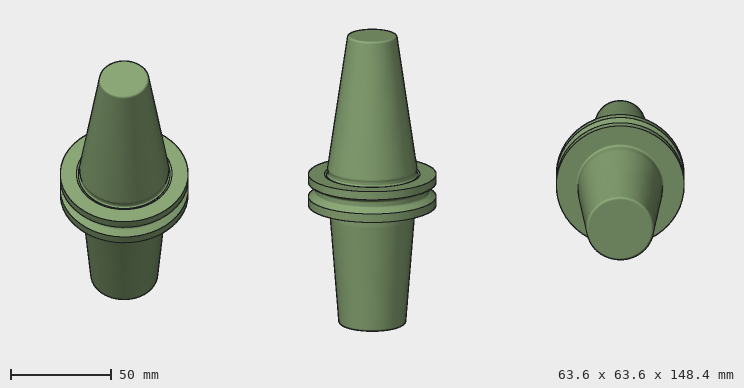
import cadquery as cq
import math


taper_length = 68.4
gauge_radius = 44.45 / 2
taper_radius_slope = 7 / 24 / 2
taper_top_fillet = 1.2
gauge_land_height = 0.5

neck_radius = 21.95
relief_angle = 15
undercut_outer_radius = 23.75
undercut_depth = 0.35
undercut_floor_width = 0.82
undercut_fillet = 0.8

flange_radius = 63.55 / 2
flange_top = -3.2
flange_bottom = -19.1
groove_center = -11.05
groove_width = 7.3
groove_floor_radius = 56.25 / 2
groove_wall_angle = 30
groove_floor_fillet = 0.9

nose_length = 80.0
nose_collar_radius = 20.95
nose_collar_bottom = -25.0
nose_taper_angle = 4.5
nose_taper_length = nose_length + nose_collar_bottom
nose_end_radius = nose_collar_radius - nose_taper_length * math.tan(math.radians(nose_taper_angle))
nose_root_fillet = 1.0
nose_end_fillet = 1.2


def turned(*profile):
    """Solid of revolution about Z from a closed (radius, z) outline."""
    return cq.Workplane("XZ").polyline(profile).close().revolve(360, (0, 0, 0), (0, 1, 0))


def circle_edge(radius, z):
    """Selector for the circular edge of the given radius and height."""
    margin = 0.01
    reach = radius + margin
    return cq.selectors.BoxSelector(
        (-reach, -reach, z - margin), (reach, reach, z + margin), boundingbox=True
    )


def build_shank():
    top_radius = gauge_radius - taper_length * taper_radius_slope
    relief_top = -gauge_land_height
    relief_height = (gauge_radius - neck_radius) / math.tan(math.radians(relief_angle))
    shank = turned(
        (0, flange_bottom),
        (neck_radius, flange_bottom),
        (neck_radius, relief_top - relief_height),
        (gauge_radius, relief_top),
        (gauge_radius, 0),
        (top_radius, taper_length),
        (0, taper_length),
    )
    return shank.edges(circle_edge(top_radius, taper_length)).fillet(taper_top_fillet)


def build_flange():
    wall_height = (flange_radius - groove_floor_radius) * math.tan(math.radians(groove_wall_angle))
    groove_top = groove_center + groove_width / 2
    groove_bottom = groove_center - groove_width / 2
    floor_top = groove_top - wall_height
    floor_bottom = groove_bottom + wall_height
    flange = turned(
        (0, flange_bottom),
        (flange_radius, flange_bottom),
        (flange_radius, groove_bottom),
        (groove_floor_radius, floor_bottom),
        (groove_floor_radius, floor_top),
        (flange_radius, groove_top),
        (flange_radius, flange_top),
        (0, flange_top),
    )
    for z in (floor_top, floor_bottom):
        flange = flange.edges(circle_edge(groove_floor_radius, z)).fillet(groove_floor_fillet)
    return flange


def build_nose():
    nose = turned(
        (0, -nose_length),
        (nose_end_radius, -nose_length),
        (nose_collar_radius, nose_collar_bottom),
        (nose_collar_radius, flange_bottom),
        (0, flange_bottom),
    )
    return nose.edges(circle_edge(nose_end_radius, -nose_length)).fillet(nose_end_fillet)


def cut_undercut(body):
    """Shallow conical recess in the flange face around the neck, with a rounded root."""
    recess_floor = flange_top - undercut_depth
    recess = turned(
        (neck_radius, flange_top),
        (neck_radius, recess_floor),
        (neck_radius + undercut_floor_width, recess_floor),
        (undercut_outer_radius, flange_top),
    )
    return body.cut(recess).edges(circle_edge(neck_radius, recess_floor)).fillet(undercut_fillet)


body = build_shank().union(build_flange()).union(build_nose())
body = cut_undercut(body)
result = body.edges(circle_edge(nose_collar_radius, flange_bottom)).fillet(nose_root_fillet)